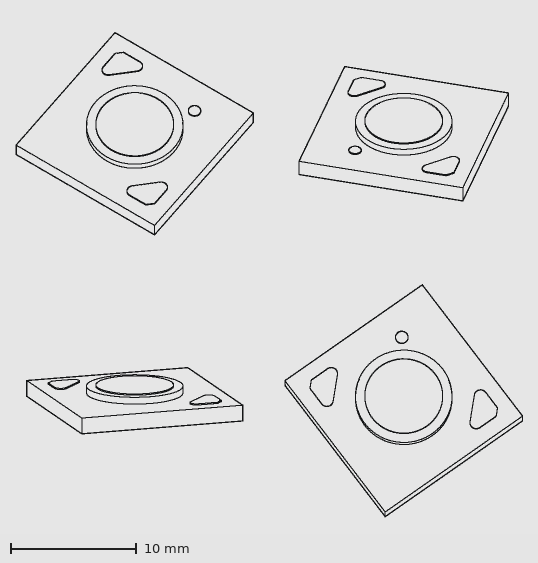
import cadquery as cq

board_side = 13.55
board_thickness = 1.3
total_height = 1.95

ring_diameter = 7.7
ring_height = 0.55
disc_diameter = 6.2

pad_height = 0.1
pad_edge_gap = 1.22
pad_extent = 2.6
pad_chamfer = 0.5
pad_tip_radius = 0.5
marker_diameter = 1.0
marker_x = 2.86
marker_y = 4.19


def cylinder(diameter, bottom, top, x=0, y=0):
    """Upright cylinder between two heights."""
    base = cq.Workplane("XY", origin=(x, y, bottom))
    return base.circle(diameter / 2).extrude(top - bottom)


def corner_pad():
    """Right-angled pad in the -X, +Y corner: cut corner and two rounded tips."""
    left = -board_side / 2 + pad_edge_gap
    back = -left
    leg = pad_extent + pad_tip_radius * 2 ** 0.5
    pad = (
        cq.Workplane("XY", origin=(0, 0, board_thickness))
        .moveTo(left, back)
        .lineTo(left + leg, back)
        .lineTo(left, back - leg)
        .close()
        .extrude(pad_height)
    )
    pad = pad.edges("|Z").edges(">X or <Y").fillet(pad_tip_radius)
    outer_corner = cq.selectors.NearestToPointSelector((left, back, board_thickness))
    return pad.edges("|Z").edges(outer_corner).chamfer(pad_chamfer)


board = cq.Workplane("XY").box(
    board_side, board_side, board_thickness, centered=(True, True, False)
)
ring_top = board_thickness + ring_height
pad_top = board_thickness + pad_height
pad = corner_pad()

result = (
    board
    .union(cylinder(ring_diameter, board_thickness, ring_top))
    .union(cylinder(disc_diameter, ring_top, total_height))
    .union(cylinder(marker_diameter, board_thickness, pad_top, marker_x, marker_y))
    .union(pad)
    .union(pad.rotate((0, 0, 0), (0, 0, 1), 180))
)